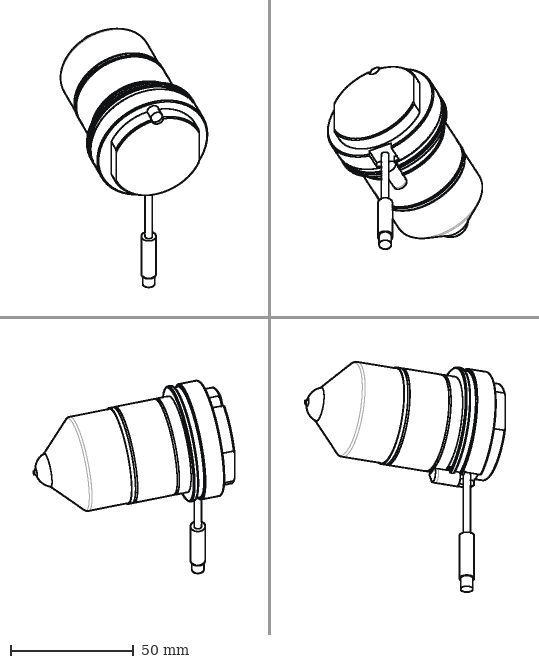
import cadquery as cq
import math


overall_length = 80.0
nose_radius = 19.6
nose_corner_fillet = 1.5
barrel_start = 35.9
barrel_radius = 20.0
flange_start = 61.0
flange_diameter = 48.0
flange_radius = flange_diameter / 2
flange_end = 74.2
flange_chamfer = 0.5
rim_groove_start = 63.2
rim_groove_end = 65.5
rim_groove_depth = 1.0
boss_chamfer = 0.5
boss_flat_distance = 18.0
band_starts = (37.5, 55.1)
band_width = 0.9
band_depth = 0.1
slot_width = 6.0
slot_floor = 21.0
lead_bay_start = 66.9
lead_bay_width = 9.9

tip_length = 5.8
tip_base_radius = 6.9
dome_radius = 7.3
point_radius = 0.7
point_straight = 0.3
point_base_radius = 1.6
orifice_radius = 0.3

locating_pin_radius = 2.5
locating_pin_rise = 19.8
locating_pin_end = 79.2
locating_pin_dome = 0.6

dowel_radius = 3.0
dowel_drop = 24.5
dowel_start = 53.3
dowel_end = 66.3
dowel_point_length = 1.8
dowel_taper_length = 1.2
dowel_taper_radius = 2.9
dowel_dome = 0.7

lead_x = 69.4
overall_height = 99.0
lead_bottom = flange_radius - overall_height
cable_diameter = 3.1
sleeve_diameter = 6.0
sleeve_length = 20.0
plug_diameter = 5.0
plug_length = 4.95


def revolve_about_x(profile):
    """Turn a closed profile, drawn as (X, radius), about the X axis."""
    return profile.close().revolve(360, (0, 0, 0), (1, 0, 0))


def x_cylinder(radius, start, end, z):
    """Cylinder parallel to X, centred on Y = 0."""
    return cq.Workplane("YZ", origin=(start, 0, z)).circle(radius).extrude(end - start)


def domed_pin(front_outline, end, radius, dome):
    """Pin about the X axis: the given (X, radius) front outline, a straight shank and a domed far end."""
    dome_sphere_radius = (radius**2 + dome**2) / (2 * dome)
    half_angle = math.asin(radius / dome_sphere_radius) / 2
    dome_middle = (
        end - dome_sphere_radius * (1 - math.cos(half_angle)),
        dome_sphere_radius * math.sin(half_angle),
    )
    return revolve_about_x(
        cq.Workplane("XZ")
        .polyline(front_outline)
        .lineTo(end - dome, radius)
        .threePointArc(dome_middle, (end, 0))
    )


def ring_groove(start, end, floor_radius):
    """Cutter for a groove around the main axis."""
    outer = x_cylinder(flange_radius, start, end, 0)
    return outer.cut(x_cylinder(floor_radius, start, end, 0))


def bottom_slot(start, width):
    """Cutter for a slot in the underside of the flange, open at the flange's rear face."""
    slot = cq.Workplane("XY").box(flange_end - start, width, flange_radius, centered=(False, True, False))
    return slot.translate((start, 0, -slot_floor - flange_radius))


def make_nose_and_barrel():
    cone_end = tip_length + nose_radius - tip_base_radius
    nose = revolve_about_x(
        cq.Workplane("XZ")
        .moveTo(tip_length, 0)
        .lineTo(tip_length, tip_base_radius)
        .lineTo(cone_end, nose_radius)
        .lineTo(barrel_start, nose_radius)
        .lineTo(barrel_start, 0)
    )
    corner = cq.selectors.NearestToPointSelector((cone_end, 0, 0))
    nose = nose.edges(corner).fillet(nose_corner_fillet)
    barrel = x_cylinder(barrel_radius, barrel_start, flange_start, 0)
    for start in band_starts:
        barrel = barrel.cut(ring_groove(start, start + band_width, barrel_radius - band_depth))
    return nose.union(barrel)


def make_flange():
    front_rim = x_cylinder(flange_radius, flange_start, rim_groove_start, 0)
    groove_core = x_cylinder(flange_radius - rim_groove_depth, rim_groove_start, rim_groove_end, 0)
    rear_rim = x_cylinder(flange_radius, rim_groove_end, flange_end, 0)
    front_rim = front_rim.edges().chamfer(flange_chamfer)
    rear_rim = rear_rim.edges().chamfer(flange_chamfer)
    flange = front_rim.union(groove_core).union(rear_rim)
    for start, width in ((flange_start, slot_width), (lead_bay_start, lead_bay_width)):
        flange = flange.cut(bottom_slot(start, width))
    return flange


def make_boss():
    boss = x_cylinder(barrel_radius, flange_end, overall_length, 0)
    boss = boss.faces(">X").chamfer(boss_chamfer)
    flats = cq.Workplane("XY").box(
        overall_length, 2 * boss_flat_distance, 2 * flange_radius, centered=(False, True, True)
    )
    pin_hole = x_cylinder(locating_pin_radius, flange_end, overall_length, locating_pin_rise)
    return boss.intersect(flats).cut(pin_hole)


def make_housing():
    return make_nose_and_barrel().union(make_flange()).union(make_boss())


def make_tip():
    dome_center = tip_length + math.sqrt(dome_radius**2 - tip_base_radius**2)
    start_angle = math.asin(point_base_radius / dome_radius)
    end_angle = math.asin(tip_base_radius / dome_radius)
    mid_angle = (start_angle + end_angle) / 2

    def dome_point(angle):
        return (dome_center - dome_radius * math.cos(angle), dome_radius * math.sin(angle))

    tip = revolve_about_x(
        cq.Workplane("XZ")
        .moveTo(0, 0)
        .lineTo(0, point_radius)
        .lineTo(point_straight, point_radius)
        .lineTo(*dome_point(start_angle))
        .threePointArc(dome_point(mid_angle), (tip_length, tip_base_radius))
        .lineTo(tip_length, 0)
    )
    return tip.cut(x_cylinder(orifice_radius, 0, tip_length, 0))


def make_locating_pin():
    flat_front = [(flange_end, 0), (flange_end, locating_pin_radius)]
    pin = domed_pin(flat_front, locating_pin_end, locating_pin_radius, locating_pin_dome)
    return pin.translate((0, 0, locating_pin_rise))


def make_dowel():
    point_end = dowel_start + dowel_point_length
    pointed_front = [
        (dowel_start, 0),
        (point_end, dowel_taper_radius),
        (point_end + dowel_taper_length, dowel_radius),
    ]
    dowel = domed_pin(pointed_front, dowel_end, dowel_radius, dowel_dome)
    return dowel.translate((0, 0, -dowel_drop))


def z_cylinder(diameter, bottom, top):
    """Upright cylinder on the lead's axis."""
    return cq.Workplane("XY", origin=(lead_x, 0, bottom)).circle(diameter / 2).extrude(top - bottom)


def make_lead():
    plug_top = lead_bottom + plug_length
    sleeve_top = plug_top + sleeve_length
    plug = z_cylinder(plug_diameter, lead_bottom, plug_top)
    sleeve = z_cylinder(sleeve_diameter, plug_top, sleeve_top)
    cable = z_cylinder(cable_diameter, sleeve_top, -slot_floor)
    return plug.union(sleeve).union(cable)


housing = make_housing()
tip = make_tip()
locating_pin = make_locating_pin()
dowel = make_dowel()
lead = make_lead()

result = cq.Compound.makeCompound(
    [housing.val(), tip.val(), locating_pin.val(), dowel.val(), lead.val()]
)